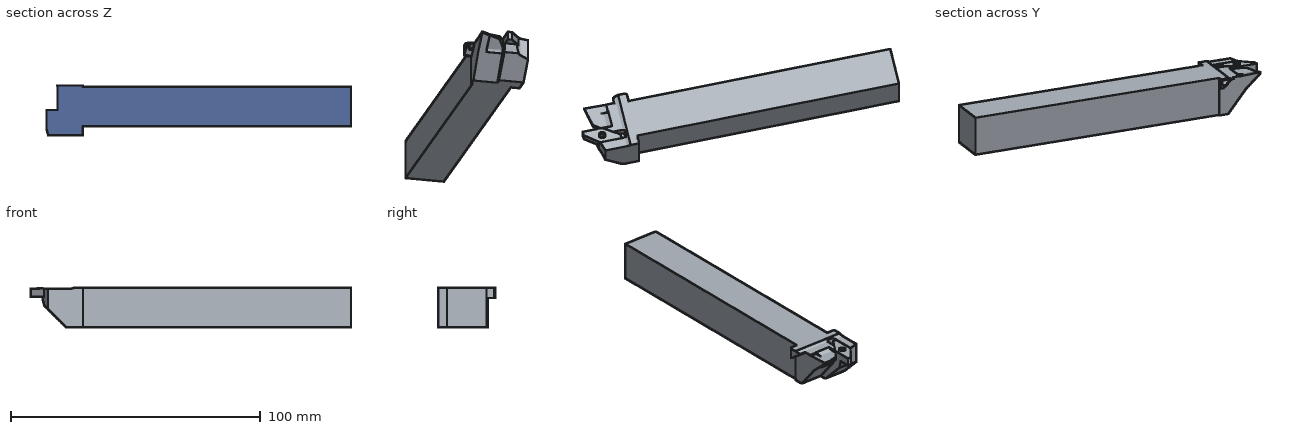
import cadquery as cq
import math


shank_size = 15.88
overall_length = 128.3
half_shank = shank_size / 2

head_width = 23.0
head_back = 21.0
head_near = -head_width / 2
head_far = head_width / 2
block_far = 8.5
deck_level = -0.45
deck_groove_start = 15.1
groove_radius = 6.5
bottom_nose = 14.3

support_front = 4.8
support_knee_level = -4.5
chin_top_level = -7.1
flank_arc_start = (support_front, -6.3)
flank_arc_middle = (5.5, -7.15)
flank_arc_end = (6.1, -8.15)
flank_corner = (7.1, head_near)

insert_top = -0.42
insert_bottom = -3.65
insert_side = -1.35
insert_near = -7.5
insert_tip_near = (0.2, -3.1)
insert_flank_end = (5.95, insert_near)
insert_tail = 14.7
insert_tail_corner = (insert_tail, -5.8)
insert_shoulder = (8.0, insert_side)
insert_hole_center = (7.4, -4.45)
insert_recess_diameter = 2.6
insert_recess_depth = 0.15
insert_hole_diameter = 1.5
insert_hole_depth = 0.3

slot_back = 16.7
slot_far = -3.95
slot_corner_radius = 1.1

shelf_back = 12.1
shelf_groove_start = 9.3
shelf_tilt = 2.8
ramp_start = 5.2
ramp_back = 11.9
ramp_cut_height = 2.0
ramp_slope = math.tan(math.radians(11))
shelf_far_corner = (2.9, block_far)
shelf_front_corner = (4.75, 0.9)

undercut_end = (9.3, -6.3)
undercut_back_slope = math.tan(math.radians(39.5))
ramp_undercut_slope = math.tan(math.radians(48.6))
shelf_undercut_slope = math.tan(math.radians(54))
undercut_arc_start = (8.0, -4.4)
undercut_arc_middle = (8.8, -5.25)

lug_bottom = -4.2
lug_lip_level = -0.75
lug_underside_slope = math.tan(math.radians(54))
lug_front_far = 10.5
lug_crest = 17.5
lug_arc_middle = (16.1, 11.15)
lug_back_chamfer = 0.6
coolant_diameter = 1.9
coolant_center = (9.55, -1.7)
coolant_depth = 5.0


def groove_run(rise):
    """Length of a groove arc that starts level and climbs by rise."""
    return math.sqrt(groove_radius**2 - (groove_radius - rise) ** 2)


def groove_rise(run):
    """Height that a groove arc gains over a run, starting level."""
    return groove_radius - math.sqrt(groove_radius**2 - run**2)


deck_groove_end = deck_groove_start + groove_run(-deck_level)
shelf_level = deck_level - groove_rise(shelf_back - shelf_groove_start)
tip_level = shelf_level + shelf_groove_start * math.tan(math.radians(shelf_tilt))


def side_plane(y_far):
    return cq.Workplane("XZ", origin=(0, y_far, 0))


def add_deck(outline):
    """Close a side outline from the head's lower back corner up and forward over its top."""
    middle_run = (deck_groove_end - deck_groove_start) / 2
    middle = (deck_groove_start + middle_run, deck_level + groove_rise(middle_run))
    return (
        outline.lineTo(head_back, 0)
        .lineTo(deck_groove_end, 0)
        .threePointArc(middle, (deck_groove_start, deck_level))
        .close()
    )


def make_shank():
    length = overall_length - head_back
    return cq.Workplane("XY").box(length, shank_size, shank_size, centered=False).translate(
        (head_back, -half_shank, -shank_size)
    )


def make_support():
    """Near half of the head, carrying the insert above a 45 degree chin."""
    chin_top = (bottom_nose - shank_size - chin_top_level, chin_top_level)
    profile = (
        side_plane(insert_side)
        .moveTo(support_front, deck_level)
        .lineTo(support_front, support_knee_level)
        .lineTo(*chin_top)
        .lineTo(bottom_nose, -shank_size)
        .lineTo(head_back, -shank_size)
    )
    block = add_deck(profile).extrude(insert_side - head_near)
    plan = (
        cq.Workplane("XY")
        .moveTo(support_front, insert_side)
        .lineTo(*flank_arc_start)
        .threePointArc(flank_arc_middle, flank_arc_end)
        .lineTo(*flank_corner)
        .lineTo(head_back, head_near)
        .lineTo(head_back, insert_side)
        .close()
        .extrude(-shank_size)
    )
    return block.intersect(plan)


def make_shelf_band(y_near, y_far, outline):
    """Part of the far half whose underside follows outline, with blank stock over the shelf."""
    end_x, end_level = undercut_end
    bottom_x = end_x + (end_level + shank_size) * undercut_back_slope
    profile = outline.lineTo(bottom_x, -shank_size).lineTo(head_back, -shank_size)
    band = add_deck(profile).extrude(y_far - y_near)
    stock = cq.Workplane("XY").box(ramp_back, y_far - y_near, -deck_level, centered=False)
    return band.union(stock.translate((0, y_near, deck_level)))


def make_shelf_block():
    """Far half of the head, undercut below the shelf."""
    arc_x, arc_level = undercut_arc_start
    end_x, end_level = undercut_end
    inner_outline = (
        side_plane(ramp_start)
        .moveTo(0, deck_level)
        .lineTo(arc_x - (deck_level - arc_level) * shelf_undercut_slope, deck_level)
        .lineTo(*undercut_arc_start)
        .threePointArc(undercut_arc_middle, undercut_end)
    )
    outer_outline = (
        side_plane(block_far)
        .moveTo(0, deck_level)
        .lineTo(end_x - (deck_level - end_level) * ramp_undercut_slope, deck_level)
        .lineTo(*undercut_end)
    )
    inner = make_shelf_band(insert_side, ramp_start, inner_outline)
    outer = make_shelf_band(ramp_start, block_far, outer_outline)
    plan = (
        cq.Workplane("XY")
        .polyline(
            [
                insert_shoulder,
                shelf_front_corner,
                shelf_far_corner,
                (head_back, block_far),
                (head_back, insert_side),
            ]
        )
        .close()
        .extrude(-shank_size)
    )
    return inner.union(outer).intersect(plan)


def make_shelf_cut():
    """Space over the shelf, which climbs toward its tip and ends in a groove arc."""
    middle_run = (shelf_back - shelf_groove_start) / 2
    groove_middle = (shelf_groove_start + middle_run, shelf_level + groove_rise(middle_run))
    return (
        side_plane(ramp_start)
        .moveTo(0, tip_level)
        .lineTo(shelf_groove_start, shelf_level)
        .threePointArc(groove_middle, (shelf_back, deck_level))
        .lineTo(shelf_back, -deck_level)
        .lineTo(0, -deck_level)
        .close()
        .extrude(ramp_start - insert_side)
    )


def make_ramp_cut():
    """Space over the ramp, which has the tilt of the shelf and climbs toward the far side."""
    far_level = (block_far - ramp_start) * ramp_slope
    return (
        cq.Workplane("YZ")
        .polyline(
            [
                (ramp_start, 0),
                (block_far, far_level),
                (block_far, ramp_cut_height),
                (ramp_start, ramp_cut_height),
            ]
        )
        .close()
        .extrude(ramp_back)
        .rotate((0, 0, 0), (0, 1, 0), shelf_tilt)
        .translate((0, 0, tip_level))
    )


def make_coolant_lug():
    """Ear on the far side with a sloped underside and a blind coolant outlet."""
    lip_x = deck_groove_start
    underside_end = lip_x + (lug_lip_level - lug_bottom) * lug_underside_slope
    profile = (
        side_plane(head_far)
        .moveTo(lip_x, deck_level)
        .lineTo(lip_x, lug_lip_level)
        .lineTo(underside_end, lug_bottom)
        .lineTo(head_back, lug_bottom)
    )
    ear = add_deck(profile).extrude(head_far - block_far)
    plan = (
        cq.Workplane("XY")
        .moveTo(lip_x, block_far)
        .lineTo(lip_x, lug_front_far)
        .threePointArc(lug_arc_middle, (lug_crest, head_far))
        .lineTo(head_back - lug_back_chamfer, head_far)
        .lineTo(head_back, head_far - lug_back_chamfer)
        .lineTo(head_back, block_far)
        .close()
        .extrude(lug_bottom)
    )
    return ear.intersect(plan)


def make_coolant_outlet():
    return (
        cq.Workplane("YZ", origin=(deck_groove_start, 0, 0))
        .center(*coolant_center)
        .circle(coolant_diameter / 2)
        .extrude(coolant_depth)
    )


def make_relief_slot():
    slot_length = slot_back - insert_shoulder[0]
    slot_width = slot_far - insert_near
    return (
        cq.Workplane("XY")
        .box(slot_length, slot_width, -insert_bottom, centered=False)
        .edges("|Z and >X")
        .fillet(slot_corner_radius)
        .translate((insert_shoulder[0], insert_near, insert_bottom))
    )


def make_insert():
    return (
        cq.Workplane("XY", origin=(0, 0, insert_bottom))
        .polyline(
            [
                (0, insert_side),
                insert_tip_near,
                insert_flank_end,
                (insert_tail, insert_near),
                insert_tail_corner,
                insert_shoulder,
            ]
        )
        .close()
        .extrude(insert_top - insert_bottom)
    )


def make_insert_hole():
    """Shallow round recess with a smaller blind hole in its floor."""
    top = cq.Workplane("XY", origin=(*insert_hole_center, insert_top))
    recess = top.circle(insert_recess_diameter / 2).extrude(-insert_recess_depth)
    hole = top.circle(insert_hole_diameter / 2).extrude(-insert_hole_depth)
    return recess.union(hole)


head = make_support().union(make_shelf_block())
head = head.cut(make_shelf_cut()).cut(make_ramp_cut())
head = head.union(make_coolant_lug()).cut(make_coolant_outlet())
head = head.cut(make_relief_slot()).union(make_insert()).cut(make_insert_hole())
result = head.union(make_shank())